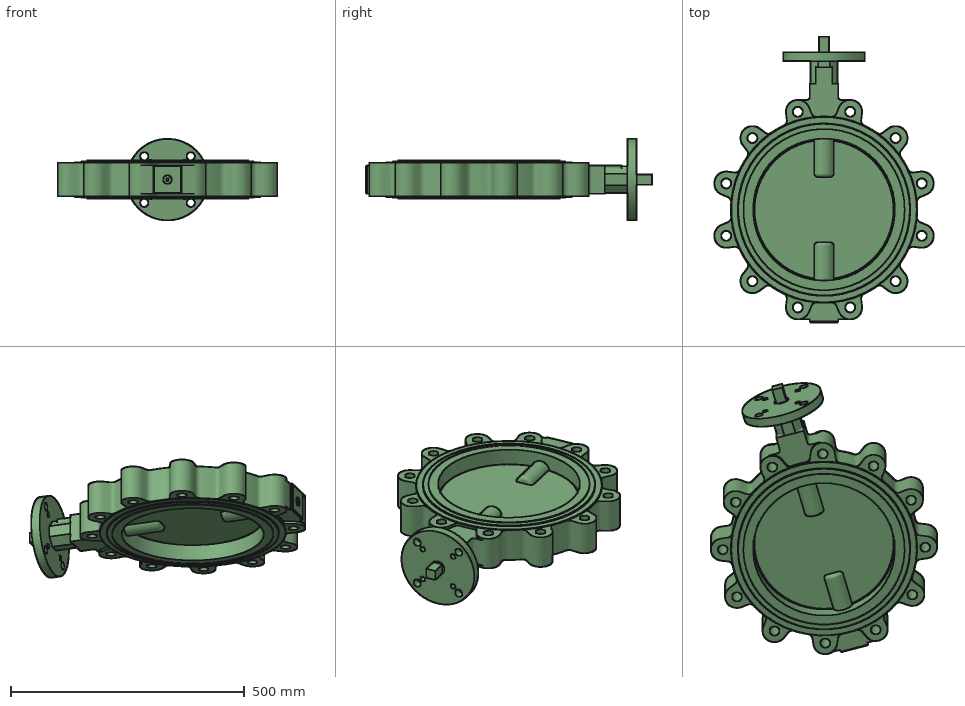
import cadquery as cq
import math

TOLERANCE = 0.05

RING_RADIUS = 199.5
RING_HALF_WIDTH = 37.0
INNER_STEP_RADIUS = 184.5
INNER_STEP_HALF_WIDTH = 39.0
STEP_CHAMFER = 1.0
LINER_RADIUS = 172.5
LINER_HALF_WIDTH = 41.0
BORE_RADIUS = 151.5

LUG_COUNT = 12
LUG_PITCH_ANGLE = 360 / LUG_COUNT
BOLT_CIRCLE_RADIUS = 216.5
LUG_RADIUS = 25.5
LUG_HALF_WIDTH = 36.0
LUG_HOLE_RADIUS = 10.5
LUG_FLARE_ANGLE = 8
LUG_ROOT_FILLET = 11.0

FIRST_LUG_ANGLE = LUG_PITCH_ANGLE / 2
PAD_WIDTH = 2 * BOLT_CIRCLE_RADIUS * math.sin(math.radians(FIRST_LUG_ANGLE))
PAD_END = BOLT_CIRCLE_RADIUS * math.cos(math.radians(FIRST_LUG_ANGLE)) + LUG_RADIUS

OVERALL_LENGTH = 611.5
STEM_TOP = 370.0
FLANGE_TOP = 337.0
FLANGE_THICKNESS = 19.5
FLANGE_BOTTOM = FLANGE_TOP - FLANGE_THICKNESS
FLANGE_RADIUS = 87.5
NECK_WIDTH = 61.0
NECK_TOP = 269.0
NECK_FILLET = 6.0
COLUMN_SIDES = 8
COLUMN_WIDTH = 58.0
COLUMN_FILLET = 1.0
FOOT_END = STEM_TOP - OVERALL_LENGTH
FOOT_CHAMFER = 2.5

TONGUE_WIDTH = 34.0
TONGUE_END = 304.5
TONGUE_BOTTOM = 22.0

FLANGE_HOLE_COUNT = 4
FLANGE_HOLE_ANGLE = 45
FLANGE_HOLE_CIRCLE = 70.5
FLANGE_HOLE_RADIUS = 8.5
SMALL_HOLE_CIRCLE = 51.5
SMALL_HOLE_RADIUS = 5.5

FOOT_RECESS_RADIUS = 9.0
FOOT_RECESS_DEPTH = 1.0
FOOT_DRILL_RADIUS = 3.0
FOOT_DRILL_DEPTH = 12.0

DISC_HALF_THICKNESS = 7.5
DISC_CHAMFER = 3.0
BOSS_RADIUS = 22.0
BOSS_END = 70.0
BOSS_FILLET = 7.5

STEM_SQUARE = 22.0
STEM_RADIUS = STEM_SQUARE / math.sqrt(2)
STEM_BOTTOM = 85.5


def is_at(value, place):
    return abs(value - place) < TOLERANCE


def mid_plane(half_width):
    """Work plane at the lower face of a shape centred on Z = 0."""
    return cq.Workplane("XY").workplane(offset=-half_width)


def z_cylinder(radius, half_width):
    return mid_plane(half_width).circle(radius).extrude(2 * half_width)


def y_cylinder(radius, y_start, y_end):
    return y_plane(y_start).circle(radius).extrude(y_end - y_start)


def y_plane(y):
    """Work plane facing +Y, with its local y axis along Z."""
    return cq.Workplane(cq.Plane(origin=(0, y, 0), xDir=(-1, 0, 0), normal=(0, 1, 0)))


def y_block(width, height, y_start, y_end):
    return y_plane(y_start).rect(width, height).extrude(y_end - y_start)


def make_lug(angle):
    """Lug along +X with flared flanks, turned to its angle."""
    flare = math.radians(LUG_FLARE_ANGLE)
    tip = (BOLT_CIRCLE_RADIUS + LUG_RADIUS, 0)
    tangent_x = BOLT_CIRCLE_RADIUS + LUG_RADIUS * math.sin(flare)
    tangent_y = LUG_RADIUS * math.cos(flare)
    root_x = LINER_RADIUS
    root_y = tangent_y + (tangent_x - root_x) * math.tan(flare)
    lug = (
        mid_plane(LUG_HALF_WIDTH)
        .moveTo(root_x, -root_y)
        .lineTo(tangent_x, -tangent_y)
        .threePointArc(tip, (tangent_x, tangent_y))
        .lineTo(root_x, root_y)
        .close()
        .extrude(2 * LUG_HALF_WIDTH)
    )
    return lug.rotate((0, 0, 0), (0, 0, 1), angle)


def make_lugged_ring():
    ring = z_cylinder(RING_RADIUS, LUG_HALF_WIDTH)
    lug_angles = [FIRST_LUG_ANGLE + i * LUG_PITCH_ANGLE for i in range(LUG_COUNT)]
    for angle in lug_angles:
        ring = ring.union(make_lug(angle))

    def at_root(edge):
        """True where a lug flank meets the wall of the ring."""
        center = edge.Center()
        return is_at(math.hypot(center.x, center.y), RING_RADIUS)

    roots = [edge for edge in ring.edges("|Z").vals() if at_root(edge)]
    ring = ring.newObject(roots).fillet(LUG_ROOT_FILLET)
    outer_step = z_cylinder(RING_RADIUS, RING_HALF_WIDTH).faces("|Z").edges().chamfer(STEP_CHAMFER)
    inner_step = z_cylinder(INNER_STEP_RADIUS, INNER_STEP_HALF_WIDTH).faces("|Z").edges().chamfer(STEP_CHAMFER)
    return ring.union(outer_step).union(inner_step)


def make_pad_and_neck():
    """Upper pad with the square neck, rounded where the two meet."""
    pad = y_block(PAD_WIDTH, NECK_WIDTH, LINER_RADIUS, PAD_END)
    neck = y_block(NECK_WIDTH, NECK_WIDTH, LINER_RADIUS, NECK_TOP)
    joined = pad.union(neck)

    def at_root(edge):
        """True where a side of the neck meets the end of the pad."""
        center = edge.Center()
        return is_at(abs(center.x), NECK_WIDTH / 2) and is_at(center.y, PAD_END)

    roots = [edge for edge in joined.edges("|Z").vals() if at_root(edge)]
    return joined.newObject(roots).fillet(NECK_FILLET)


def add_column(neck):
    """Octagonal column on the neck with the tongue lying on it, rounded where they meet."""
    half_side_angle = 180 / COLUMN_SIDES
    corner_diameter = COLUMN_WIDTH / math.cos(math.radians(half_side_angle))
    column = y_plane(NECK_TOP).polygon(COLUMN_SIDES, corner_diameter).extrude(FLANGE_BOTTOM - NECK_TOP)
    column = column.rotate((0, 0, 0), (0, 1, 0), half_side_angle)
    tongue_height = NECK_WIDTH / 2 - TONGUE_BOTTOM
    tongue = y_block(TONGUE_WIDTH, tongue_height, NECK_TOP, TONGUE_END)
    tongue = tongue.translate((0, 0, TONGUE_BOTTOM + tongue_height / 2))
    joined = neck.union(column).union(tongue)

    def in_corner(edge):
        """True at the foot of the column and where the tongue meets the column."""
        center = edge.Center()
        off_axis = abs(center.x)
        below_neck_surface = max(off_axis, abs(center.z)) < NECK_WIDTH / 2 - TOLERANCE
        at_neck = is_at(center.y, NECK_TOP)
        at_tongue_end = is_at(center.y, TONGUE_END) and off_axis < TONGUE_WIDTH / 2 - TOLERANCE
        along_tongue = NECK_TOP + TOLERANCE < center.y < TONGUE_END - TOLERANCE
        at_tongue_side = along_tongue and is_at(off_axis, TONGUE_WIDTH / 2)
        return below_neck_surface and (at_neck or at_tongue_end or at_tongue_side)

    corners = [edge for edge in joined.edges().vals() if in_corner(edge)]
    return joined.newObject(corners).fillet(COLUMN_FILLET)


def make_foot():
    pad = y_block(PAD_WIDTH, NECK_WIDTH, -PAD_END, -LINER_RADIUS)
    foot = y_block(NECK_WIDTH, NECK_WIDTH, FOOT_END, -LINER_RADIUS).faces("<Y").chamfer(FOOT_CHAMFER)
    return pad.union(foot)


def make_top_flange():
    flange = y_cylinder(FLANGE_RADIUS, FLANGE_BOTTOM, FLANGE_TOP)
    hole_rings = [(FLANGE_HOLE_CIRCLE, FLANGE_HOLE_RADIUS), (SMALL_HOLE_CIRCLE, SMALL_HOLE_RADIUS)]
    for circle, radius in hole_rings:
        places = y_plane(FLANGE_BOTTOM).polarArray(circle, FLANGE_HOLE_ANGLE, 360, FLANGE_HOLE_COUNT)
        holes = places.circle(radius).extrude(FLANGE_THICKNESS)
        flange = flange.cut(holes)
    return flange


def make_foot_holes():
    recess = y_cylinder(FOOT_RECESS_RADIUS, FOOT_END, FOOT_END + FOOT_RECESS_DEPTH)
    return recess.union(y_cylinder(FOOT_DRILL_RADIUS, FOOT_END, FOOT_END + FOOT_DRILL_DEPTH))


def make_housing():
    housing = make_lugged_ring().union(add_column(make_pad_and_neck()))
    housing = housing.union(make_foot()).union(make_top_flange())
    housing = housing.cut(z_cylinder(LINER_RADIUS, LINER_HALF_WIDTH))
    lug_holes = (
        mid_plane(LUG_HALF_WIDTH)
        .polarArray(BOLT_CIRCLE_RADIUS, FIRST_LUG_ANGLE, 360, LUG_COUNT)
        .circle(LUG_HOLE_RADIUS)
        .extrude(2 * LUG_HALF_WIDTH)
    )
    return housing.cut(lug_holes).cut(make_foot_holes()).cut(make_stem())


def make_liner():
    liner = z_cylinder(LINER_RADIUS, LINER_HALF_WIDTH)
    return liner.cut(z_cylinder(BORE_RADIUS, LINER_HALF_WIDTH)).cut(make_stem())


def make_disc():
    disc = z_cylinder(BORE_RADIUS, DISC_HALF_THICKNESS).faces("|Z").edges().chamfer(DISC_CHAMFER)
    upper_boss = y_cylinder(BOSS_RADIUS, BOSS_END, BORE_RADIUS).faces("<Y").edges().fillet(BOSS_FILLET)
    bosses = upper_boss.union(upper_boss.mirror("XZ"))
    bosses = bosses.intersect(z_cylinder(BORE_RADIUS, LINER_HALF_WIDTH))
    return disc.union(bosses).cut(make_stem())


def make_stem():
    """Round stem whose square end stands above the flange."""
    shank = y_cylinder(STEM_RADIUS, STEM_BOTTOM, FLANGE_TOP)
    return shank.union(y_block(STEM_SQUARE, STEM_SQUARE, FLANGE_TOP, STEM_TOP))


housing = make_housing()
liner = make_liner()
disc = make_disc()
stem = make_stem()

result = cq.Compound.makeCompound([housing.val(), liner.val(), disc.val(), stem.val()])